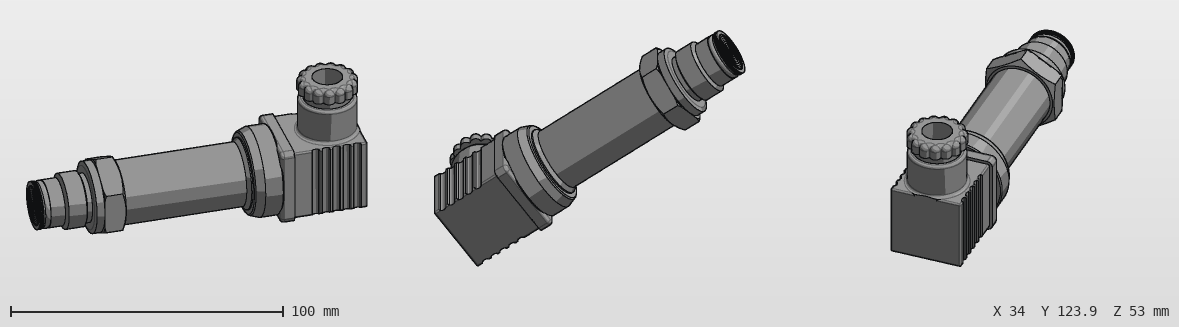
import cadquery as cq
import math


LENGTH = 123.9
RIM_Y = 0.2
SEAL_END_Y = 4.5
COLLAR_Y = 9.9
NECK_Y = 18.3
FLANGE_Y = 20.2
HEX_Y = 23.7
TUBE_Y = 32.0
FLARE_Y = 78.3
NUT_Y = 80.3
NUT_END_Y = 91.3
PLATE_FRONT_Y = 90.5
HOUSING_Y = 95.8

TIP_DIA = 18.0
TIP_GROOVE_DIA = 17.2
COLLAR_DIA = 20.9
NECK_DIA = 18.5
FLANGE_DIA = 27.0
SEAL_FACE_DIA = 23.9
TUBE_DIA = 24.2
NUT_DIA = 34.0
NUT_FRONT_DIA = 31.5
HEX_FLATS = 27.3

NUB_DIA = 1.2
WAVE_START_R = 1.4
WAVE_WIDTH = 0.7
WAVE_COUNT = 4
WAVE_DEPTH = 0.19
MEMBRANE_DIA = 15.0
SEAM_WIDTH = 0.4

PLATE_SIZE = 30.1
PLATE_CORNER_R = 2.1
PLATE_FRONT_R = 1.4
HOUSING_SIZE = 27.7
HOUSING_EDGE_R = 0.6
GROOVE_COUNT = 5
GROOVE_PITCH = 4.0
GROOVE_WIDTH = 3.1
GROOVE_FLOOR = 2.4
GROOVE_WALL = 0.6
GROOVE_DEPTH = 1.0
FIRST_GROOVE_Y = 104.2

GLAND_Y = 112.6
TOWER_DIA = 21.9
TOWER_TOP_Z = 27.6
TOWER_EDGE = 1.1
GLAND_NECK_DIA = 18.0
CAP_BASE_Z = 30.8
CAP_TOP_Z = 36.0
CABLE_HOLE_DIA = 11.3
LOBE_COUNT = 15
LOBE_R = 2.1
LOBE_CIRCLE_R = LENGTH - GLAND_Y - LOBE_R
LOBE_PHASE = 12.0
VALLEY_R = 0.2
CAP_EDGE_R = 2.0


def revolve_about_y(outline):
    return outline.close().revolve(360, (0, 0, 0), (0, 1, 0))


def make_tip():
    """Membrane end: two thin grooves, an O-ring, the collar and the relief neck."""
    tip_r = TIP_DIA / 2
    groove_r = TIP_GROOVE_DIA / 2
    collar_r = COLLAR_DIA / 2
    neck_r = NECK_DIA / 2
    land_width = 0.5
    collar_bevel = 1.0
    back_bevel = 0.6
    first_groove_y = RIM_Y + land_width
    second_land_y = first_groove_y + land_width
    second_groove_y = second_land_y + land_width
    seal_start_y = 2.5
    outline = (
        cq.Workplane("XY")
        .moveTo(0, RIM_Y)
        .lineTo(tip_r, RIM_Y)
        .lineTo(tip_r, first_groove_y)
        .lineTo(groove_r, first_groove_y)
        .lineTo(groove_r, second_land_y)
        .lineTo(tip_r, second_land_y)
        .lineTo(tip_r, second_groove_y)
        .lineTo(groove_r, second_groove_y)
        .lineTo(groove_r, seal_start_y)
        .threePointArc((tip_r, (seal_start_y + SEAL_END_Y) / 2), (groove_r, SEAL_END_Y))
        .lineTo(tip_r, SEAL_END_Y)
        .lineTo(tip_r, COLLAR_Y)
        .lineTo(collar_r, COLLAR_Y + collar_bevel)
        .lineTo(collar_r, NECK_Y - back_bevel)
        .lineTo(neck_r, NECK_Y)
        .lineTo(neck_r, FLANGE_Y)
        .lineTo(0, FLANGE_Y)
    )
    return revolve_about_y(outline)


def make_face_groove(inner_r, width):
    """Ring-shaped cutter with a round bottom, sunk into the membrane face."""
    groove = (
        cq.Workplane("XY")
        .moveTo(inner_r, RIM_Y)
        .threePointArc((inner_r + width / 2, RIM_Y + WAVE_DEPTH), (inner_r + width, RIM_Y))
    )
    return revolve_about_y(groove)


def make_membrane_grooves():
    """Concentric corrugations, and the seam around the membrane's edge."""
    waves = [make_face_groove(WAVE_START_R + 2 * i * WAVE_WIDTH, WAVE_WIDTH) for i in range(WAVE_COUNT)]
    seam = make_face_groove(MEMBRANE_DIA / 2 - SEAM_WIDTH, SEAM_WIDTH)
    return waves + [seam]


def make_nub():
    return cq.Workplane("XZ").circle(NUB_DIA / 2).extrude(-2 * RIM_Y)


def make_barrel():
    """Flange, tube and union nut as one turned profile."""
    flange_r = FLANGE_DIA / 2
    nut_r = NUT_DIA / 2
    seal_bevel = 0.5
    flare_land = 0.5
    nut_taper = 3.8
    nut_bevel = 0.5
    nut_front_r = NUT_FRONT_DIA / 2
    outline = (
        cq.Workplane("XY")
        .moveTo(0, FLANGE_Y)
        .lineTo(SEAL_FACE_DIA / 2, FLANGE_Y)
        .lineTo(flange_r, FLANGE_Y + seal_bevel)
        .lineTo(flange_r, HEX_Y)
        .lineTo(TUBE_DIA / 2, HEX_Y)
        .lineTo(TUBE_DIA / 2, FLARE_Y)
        .lineTo(flange_r, NUT_Y - flare_land)
        .lineTo(flange_r, NUT_Y)
        .lineTo(nut_front_r - nut_bevel, NUT_Y)
        .lineTo(nut_front_r, NUT_Y + nut_bevel)
        .lineTo(nut_r, NUT_Y + nut_taper)
        .lineTo(nut_r, NUT_END_Y - nut_bevel)
        .lineTo(nut_r - nut_bevel, NUT_END_Y)
        .lineTo(0, NUT_END_Y)
    )
    return revolve_about_y(outline)


def make_hex():
    """Wrench hexagon with corners up and down, its corners turned down to cones."""
    corner_r = HEX_FLATS / 2 / math.cos(math.radians(30))
    front_bevel_r = 1.0
    front_bevel_y = 0.5
    back_face_r = 13.1
    back_bevel_y = 1.5
    prism = (
        cq.Workplane("XZ", origin=(0, HEX_Y, 0))
        .polygon(6, 2 * corner_r)
        .extrude(HEX_Y - TUBE_Y)
        .rotate((0, 0, 0), (0, 1, 0), 30)
    )
    envelope = revolve_about_y(
        cq.Workplane("XY")
        .moveTo(0, HEX_Y)
        .lineTo(corner_r - front_bevel_r, HEX_Y)
        .lineTo(corner_r, HEX_Y + front_bevel_y)
        .lineTo(corner_r, TUBE_Y - back_bevel_y)
        .lineTo(back_face_r, TUBE_Y)
        .lineTo(0, TUBE_Y)
    )
    return prism.intersect(envelope)


def make_plate():
    depth = HOUSING_Y - PLATE_FRONT_Y
    return (
        cq.Workplane("XY")
        .box(PLATE_SIZE, depth, PLATE_SIZE)
        .translate((0, PLATE_FRONT_Y + depth / 2, 0))
        .edges("|Y")
        .fillet(PLATE_CORNER_R)
        .faces("<Y")
        .edges()
        .fillet(PLATE_FRONT_R)
    )


def make_grip_groove(y):
    """Upright cutter for one groove on the +X side: slanted walls and a hollow floor."""
    side_x = HOUSING_SIZE / 2
    wall_x = side_x - GROOVE_WALL
    return (
        cq.Workplane("XY")
        .moveTo(side_x, y - GROOVE_WIDTH / 2)
        .lineTo(wall_x, y - GROOVE_FLOOR / 2)
        .threePointArc((side_x - GROOVE_DEPTH, y), (wall_x, y + GROOVE_FLOOR / 2))
        .lineTo(side_x, y + GROOVE_WIDTH / 2)
        .close()
        .extrude(HOUSING_SIZE, both=True)
    )


def make_housing():
    """Square plug housing with upright grip grooves on both sides."""
    depth = LENGTH - HOUSING_Y
    housing = (
        cq.Workplane("XY")
        .box(HOUSING_SIZE, depth, HOUSING_SIZE)
        .translate((0, HOUSING_Y + depth / 2, 0))
        .edges("|Y or >Y")
        .fillet(HOUSING_EDGE_R)
    )
    for i in range(GROOVE_COUNT):
        groove = make_grip_groove(FIRST_GROOVE_Y + i * GROOVE_PITCH)
        housing = housing.cut(groove).cut(groove.mirror("YZ"))
    return housing


def make_tower():
    """Gland tower with a flared root and rounded shoulder, carrying the cap's neck."""
    root_z = HOUSING_SIZE / 2
    tower_r = TOWER_DIA / 2
    neck_r = GLAND_NECK_DIA / 2
    arc_offset = TOWER_EDGE * (1 - math.cos(math.radians(45)))
    top_z = TOWER_TOP_Z
    tower = (
        cq.Workplane("XZ")
        .lineTo(tower_r + TOWER_EDGE, 0)
        .lineTo(tower_r + TOWER_EDGE, root_z)
        .threePointArc((tower_r + arc_offset, root_z + arc_offset), (tower_r, root_z + TOWER_EDGE))
        .lineTo(tower_r, top_z - TOWER_EDGE)
        .threePointArc((tower_r - arc_offset, top_z - arc_offset), (tower_r - TOWER_EDGE, top_z))
        .lineTo(neck_r, top_z)
        .lineTo(neck_r, CAP_BASE_Z)
        .lineTo(0, CAP_BASE_Z)
        .close()
        .revolve(360, (0, 0, 0), (0, 1, 0))
        .translate((0, GLAND_Y, 0))
    )
    trim_size = 2 * TOWER_DIA
    trim = cq.Workplane("XY").box(trim_size, trim_size, 2 * CAP_TOP_Z)
    return tower.intersect(trim.translate((0, LENGTH - trim_size / 2, 0)))


def polar(radius, degrees):
    angle = math.radians(degrees)
    return (radius * math.cos(angle), radius * math.sin(angle))


def make_cap():
    """Grip cap: lobes and small valleys in tangent arcs, with a generously rounded top edge."""
    step = 360 / LOBE_COUNT
    half = math.radians(step / 2)
    across = LOBE_CIRCLE_R * math.sin(half)
    along = math.sqrt((LOBE_R + VALLEY_R) ** 2 - across**2)
    valley_circle_r = LOBE_CIRCLE_R * math.cos(half) + along
    tangent_x = valley_circle_r * math.cos(half) - LOBE_CIRCLE_R
    tangent_y = valley_circle_r * math.sin(half)
    share = LOBE_R / (LOBE_R + VALLEY_R)
    tangent_r = math.hypot(LOBE_CIRCLE_R + share * tangent_x, share * tangent_y)
    tangent_angle = math.degrees(math.atan2(share * tangent_y, LOBE_CIRCLE_R + share * tangent_x))

    outline = cq.Workplane("XY").moveTo(*polar(tangent_r, LOBE_PHASE - tangent_angle))
    for i in range(LOBE_COUNT):
        angle = LOBE_PHASE + i * step
        lobe_tip = polar(LOBE_CIRCLE_R + LOBE_R, angle)
        lobe_end = polar(tangent_r, angle + tangent_angle)
        valley_low = polar(valley_circle_r - VALLEY_R, angle + step / 2)
        valley_end = polar(tangent_r, angle + step - tangent_angle)
        outline = outline.threePointArc(lobe_tip, lobe_end).threePointArc(valley_low, valley_end)
    cap = outline.close().extrude(CAP_TOP_Z - CAP_BASE_Z)
    cap = cap.faces(">Z").edges().fillet(CAP_EDGE_R)
    return cap.translate((0, GLAND_Y, CAP_BASE_Z))


def make_cable_hole():
    hole = cq.Workplane("XY", origin=(0, GLAND_Y, TOWER_TOP_Z))
    return hole.circle(CABLE_HOLE_DIA / 2).extrude(CAP_TOP_Z - TOWER_TOP_Z)


result = make_tip()
for groove in make_membrane_grooves():
    result = result.cut(groove)
body_parts = [make_nub(), make_barrel(), make_hex()]
plug_parts = [make_plate(), make_housing(), make_tower(), make_cap()]
for piece in body_parts + plug_parts:
    result = result.union(piece)
result = result.cut(make_cable_hole())